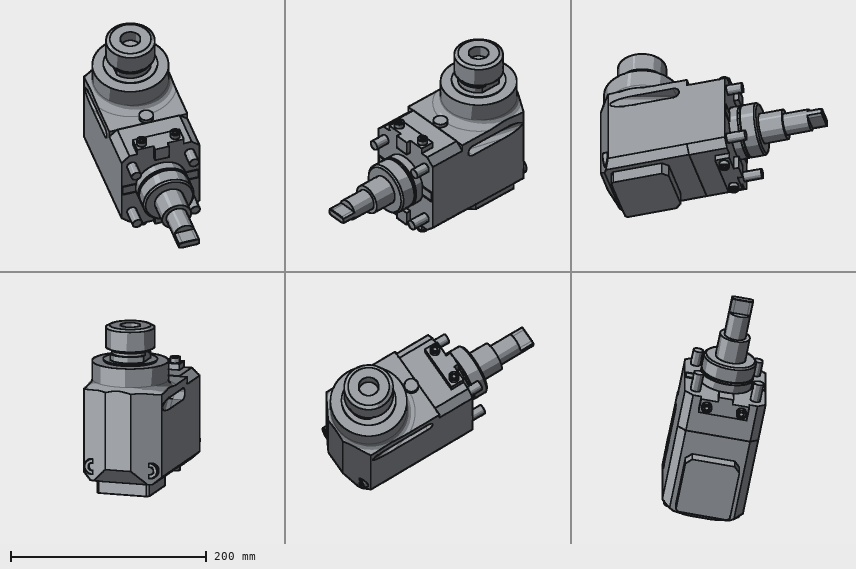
import cadquery as cq
import math


HALF_WIDTH = 84.0 / 2
REAR_X = -40.2
FACE_X = 99.5
STEP_X = 59.2
REAR_HALF_HEIGHT = 47.0
FRONT_HALF_HEIGHT = 47.5
REAR_FLAT_HALF_WIDTH = 13.8
REAR_CUT_END_X = -24.3
EDGE_CUT_Y = 33.5
EDGE_CUT_Z = 39.8
TOE_Z = -32.3
TOE_X = -31.5

TOP_Z = 111.5
COLLAR_RADIUS = 39.0
COLLAR_TOP_Z = 74.4
COLLAR_FILLET = 8.2
WASHER_TOP_RADIUS = 27.8
WASHER_BASE_RADIUS = 27.0
NUT_BASE_Z = 76.3
NUT_RADIUS = 21.3
NUT_TOP_Z = 82.5
NUT_HALF_FLATS = 36.3 / 2
NECK_RADIUS = 19.2
FLATS_TOP_Z = 86.0
SHOULDER_RADIUS = 20.0
CAP_BASE_Z = 88.9
CAP_RADIUS = 25.0
CAP_TOP_RADIUS = 21.0
CAP_BEVEL_HEIGHT = 2.0
BORE_RADIUS = 10.3
BORE_DEPTH = 12.2

FLANGE_RADIUS = 27.1
FLANGE_END_X = 127.7
FLANGE_CHAMFER = 1.9
RING_GROOVE_X = 108.5
RING_GROOVE_WIDTH = 3.0
RING_GROOVE_FLOOR = 2.0
RING_GROOVE_DEPTH = 0.7
SHAFT_RADIUS = 31.0 / 2
SHAFT_END_X = 152.3
TIP_RADIUS = 22.2 / 2
TIP_END_X = 178.2
TANG_END_X = 193.7
TANG_HALF_THICKNESS = 3.7
TANG_BEVEL_WIDTH = 3.7
TANG_BEVEL_HEIGHT = 1.0
TANG_END_CHAMFER = 0.5

SCREW_Y = 31.0
SCREW_Z = 32.5
SCREW_RADIUS = 10.0 / 2
UPPER_SCREW_END_X = 115.0
LOWER_SCREW_END_X = 118.5
HEAD_X = -31.0
HEAD_RADIUS = 8.2
HEAD_CHAMFER = 0.5
HEAD_BORE_RADIUS = 4.0

GROOVE_RADIUS = 6.0
GROOVE_TILT = 15
GROOVE_START_X = 1.2
GROOVE_END_X = 44.7

PLATE_X = 84.5
PLATE_HALF_WIDTH = 25.0
PLATE_TOP_Z = 53.8
KEY_END_X = 104.5
KEY_HALF_WIDTH = 7.5
KEY_LOW_Z = 38.1
PLATE_SCREW_X = 92.2
PLATE_SCREW_Y = 18.0
PLATE_SCREW_RADIUS = 5.0
PLATE_SCREW_TOP_Z = 59.5
PLATE_SCREW_CHAMFER = 0.5
SOCKET_RADIUS = 2.5
SOCKET_WALL_DEPTH = 2.0
SOCKET_DEPTH = 3.5

BAR_HEIGHT = 11.2
BAR_LENGTH = 81.5
BAR_THICKNESS = 1.0

PLUG_X = 52.0
PLUG_RADIUS = 7.3
PLUG_TOP_Z = 51.0

BASE_REAR_X = -25.3
BASE_FRONT_X = 34.6
BASE_HALF_WIDTH = 28.0
BASE_BOTTOM_Z = -61.0
BASE_REAR_CHAMFER = 2.3
BASE_FRONT_CHAMFER = 5.8

OVERLAP = 2.3


def box(x0, x1, half_width, z0, z1):
    """Block between two X and two Z planes, centred on Y = 0."""
    return cq.Workplane("XY").box(x1 - x0, 2 * half_width, z1 - z0).translate(
        ((x0 + x1) / 2, 0, (z0 + z1) / 2)
    )


def rod_x(x0, x1, radius, y=0.0, z=0.0):
    """Cylinder along X."""
    return cq.Workplane("YZ", origin=(x0, y, z)).circle(radius).extrude(x1 - x0)


def rod_z(x, y, z0, z1, radius):
    """Cylinder along Z."""
    return cq.Workplane("XY", origin=(x, y, z0)).circle(radius).extrude(z1 - z0)


def make_plan_prism():
    """Tall prism with the housing's plan outline, used to trim the rear corners."""
    outline = [
        (REAR_X, -REAR_FLAT_HALF_WIDTH),
        (REAR_CUT_END_X, -HALF_WIDTH),
        (FACE_X, -HALF_WIDTH),
        (FACE_X, HALF_WIDTH),
        (REAR_CUT_END_X, HALF_WIDTH),
        (REAR_X, REAR_FLAT_HALF_WIDTH),
    ]
    height = 2 * TOP_Z
    return cq.Workplane("XY", origin=(0, 0, -TOP_Z)).polyline(outline).close().extrude(height)


def make_housing():
    rear_section = [
        (-HALF_WIDTH, REAR_HALF_HEIGHT),
        (-HALF_WIDTH, -EDGE_CUT_Z),
        (-EDGE_CUT_Y, -REAR_HALF_HEIGHT),
        (EDGE_CUT_Y, -REAR_HALF_HEIGHT),
        (HALF_WIDTH, -EDGE_CUT_Z),
        (HALF_WIDTH, REAR_HALF_HEIGHT),
    ]
    front_section = [
        (-EDGE_CUT_Y, FRONT_HALF_HEIGHT),
        (-HALF_WIDTH, EDGE_CUT_Z),
        (-HALF_WIDTH, -EDGE_CUT_Z),
        (-EDGE_CUT_Y, -FRONT_HALF_HEIGHT),
        (EDGE_CUT_Y, -FRONT_HALF_HEIGHT),
        (HALF_WIDTH, -EDGE_CUT_Z),
        (HALF_WIDTH, EDGE_CUT_Z),
        (EDGE_CUT_Y, FRONT_HALF_HEIGHT),
    ]
    rear = cq.Workplane("YZ", origin=(REAR_X, 0, 0)).polyline(rear_section).close().extrude(STEP_X - REAR_X)
    front = cq.Workplane("YZ", origin=(STEP_X, 0, 0)).polyline(front_section).close().extrude(FACE_X - STEP_X)
    toe = (
        cq.Workplane("XZ")
        .polyline([(REAR_X, TOE_Z), (TOE_X, -REAR_HALF_HEIGHT), (REAR_X, -REAR_HALF_HEIGHT)])
        .close()
        .extrude(HALF_WIDTH, both=True)
    )
    return rear.union(front).cut(toe)


def make_collar():
    """Round collar that flares into the housing top through a concave fillet."""
    fillet_top_z = REAR_HALF_HEIGHT + COLLAR_FILLET
    flare_radius = COLLAR_RADIUS + COLLAR_FILLET
    arc_reach = COLLAR_FILLET * math.sqrt(0.5)
    return (
        cq.Workplane("XZ")
        .moveTo(0, REAR_HALF_HEIGHT - OVERLAP)
        .lineTo(flare_radius, REAR_HALF_HEIGHT - OVERLAP)
        .lineTo(flare_radius, REAR_HALF_HEIGHT)
        .threePointArc((flare_radius - arc_reach, fillet_top_z - arc_reach), (COLLAR_RADIUS, fillet_top_z))
        .lineTo(COLLAR_RADIUS, COLLAR_TOP_Z)
        .lineTo(0, COLLAR_TOP_Z)
        .close()
        .revolve(360, (0, 0, 0), (0, 1, 0))
    )


def make_spindle():
    profile = [
        (0, COLLAR_TOP_Z - OVERLAP),
        (WASHER_BASE_RADIUS, COLLAR_TOP_Z - OVERLAP),
        (WASHER_BASE_RADIUS, COLLAR_TOP_Z),
        (WASHER_TOP_RADIUS, NUT_BASE_Z),
        (NUT_RADIUS, NUT_BASE_Z),
        (NUT_RADIUS, NUT_TOP_Z),
        (NECK_RADIUS, NUT_TOP_Z),
        (NECK_RADIUS, FLATS_TOP_Z),
        (SHOULDER_RADIUS, FLATS_TOP_Z),
        (SHOULDER_RADIUS, CAP_BASE_Z),
        (CAP_RADIUS, CAP_BASE_Z),
        (CAP_RADIUS, TOP_Z - CAP_BEVEL_HEIGHT),
        (CAP_TOP_RADIUS, TOP_Z),
        (BORE_RADIUS, TOP_Z),
        (BORE_RADIUS, TOP_Z - BORE_DEPTH),
        (0, TOP_Z - BORE_DEPTH),
    ]
    spindle = cq.Workplane("XZ").polyline(profile).close().revolve(360, (0, 0, 0), (0, 1, 0))
    flats_band = box(-NUT_RADIUS, NUT_RADIUS, NUT_RADIUS, NUT_BASE_Z, FLATS_TOP_Z)
    between_flats = box(-NUT_RADIUS, NUT_RADIUS, NUT_HALF_FLATS, NUT_BASE_Z, FLATS_TOP_Z)
    return spindle.cut(flats_band.cut(between_flats))


def make_drive():
    """Flange with a ring groove, stepped shaft and flat tang."""
    groove_end_x = RING_GROOVE_X + RING_GROOVE_WIDTH
    groove_radius = FLANGE_RADIUS - RING_GROOVE_DEPTH
    profile = [
        (FACE_X - OVERLAP, 0),
        (FACE_X - OVERLAP, FLANGE_RADIUS),
        (RING_GROOVE_X, FLANGE_RADIUS),
        (RING_GROOVE_X, groove_radius),
        (RING_GROOVE_X + RING_GROOVE_FLOOR, groove_radius),
        (groove_end_x, FLANGE_RADIUS),
        (FLANGE_END_X - FLANGE_CHAMFER, FLANGE_RADIUS),
        (FLANGE_END_X, FLANGE_RADIUS - FLANGE_CHAMFER),
        (FLANGE_END_X, SHAFT_RADIUS),
        (SHAFT_END_X, SHAFT_RADIUS),
        (SHAFT_END_X, TIP_RADIUS),
        (TIP_END_X, TIP_RADIUS),
        (TIP_END_X, 0),
    ]
    shaft = cq.Workplane("XY").polyline(profile).close().revolve(360, (0, 0, 0), (1, 0, 0))
    slab = (
        box(TIP_END_X - OVERLAP, TANG_END_X, TIP_RADIUS, -TANG_HALF_THICKNESS, TANG_HALF_THICKNESS)
        .edges("|X")
        .chamfer(TANG_BEVEL_HEIGHT, TANG_BEVEL_WIDTH)
    )
    tang = slab.intersect(rod_x(TIP_END_X - OVERLAP, TANG_END_X, TIP_RADIUS))
    return shaft.union(tang.faces(">X").chamfer(TANG_END_CHAMFER))


def make_key_plate():
    """Top key plate with two socket screws; its tongue hangs over the mounting face."""
    plate = box(PLATE_X, FACE_X, PLATE_HALF_WIDTH, FRONT_HALF_HEIGHT - OVERLAP, PLATE_TOP_Z)
    tongue = box(FACE_X - OVERLAP, KEY_END_X, KEY_HALF_WIDTH, KEY_LOW_Z, PLATE_TOP_Z)
    plate = plate.union(tongue)
    for y in (-PLATE_SCREW_Y, PLATE_SCREW_Y):
        screw = rod_z(PLATE_SCREW_X, y, PLATE_TOP_Z - OVERLAP, PLATE_SCREW_TOP_Z, PLATE_SCREW_RADIUS)
        screw = screw.faces(">Z").chamfer(PLATE_SCREW_CHAMFER)
        socket = (
            cq.Workplane("XZ")
            .polyline([(0, 0), (SOCKET_RADIUS, 0), (SOCKET_RADIUS, -SOCKET_WALL_DEPTH), (0, -SOCKET_DEPTH)])
            .close()
            .revolve(360, (0, 0, 0), (0, 1, 0))
            .translate((PLATE_SCREW_X, y, PLATE_SCREW_TOP_Z))
        )
        plate = plate.union(screw).cut(socket)
    return plate


def make_base():
    height = -REAR_HALF_HEIGHT + OVERLAP - BASE_BOTTOM_Z
    block = box(BASE_REAR_X, BASE_FRONT_X, BASE_HALF_WIDTH, BASE_BOTTOM_Z, BASE_BOTTOM_Z + height)
    block = block.edges("|Z and <X").chamfer(BASE_REAR_CHAMFER)
    return block.edges("|Z and >X").chamfer(BASE_FRONT_CHAMFER)


def make_screw_head(y):
    """Ring-shaped head standing out of the sloping rear corner."""
    head = rod_x(HEAD_X, REAR_CUT_END_X, HEAD_RADIUS, y, -SCREW_Z).faces("<X").chamfer(HEAD_CHAMFER)
    return head.cut(rod_x(HEAD_X, REAR_CUT_END_X, HEAD_BORE_RADIUS, y, -SCREW_Z))


def make_access_groove():
    """Round-bottomed groove that slopes into the -Y side and ends in a ball shape."""
    reach = GROOVE_END_X + HALF_WIDTH
    trough = cq.Workplane("YZ").circle(GROOVE_RADIUS).extrude(reach, both=True)
    opening = cq.Workplane("XY").box(2 * reach, reach, 2 * GROOVE_RADIUS).translate((0, -reach / 2, 0))
    sloped = (
        trough.union(opening)
        .rotate((0, 0, 0), (0, 0, 1), GROOVE_TILT)
        .translate((GROOVE_START_X, -HALF_WIDTH, SCREW_Z))
    )
    end_y = -HALF_WIDTH + (GROOVE_END_X - GROOVE_START_X) * math.tan(math.radians(GROOVE_TILT))
    end_centre = (GROOVE_END_X, end_y, SCREW_Z)
    ball = cq.Workplane("XY").sphere(GROOVE_RADIUS).translate(end_centre)
    end_wall = cq.Workplane("XZ", origin=end_centre).circle(GROOVE_RADIUS).extrude(HALF_WIDTH)
    limit = box(REAR_X, GROOVE_END_X, 2 * HALF_WIDTH, SCREW_Z - GROOVE_RADIUS, SCREW_Z + GROOVE_RADIUS)
    return sloped.intersect(limit).union(ball).union(end_wall)


result = make_housing().union(make_collar()).intersect(make_plan_prism())

groove = make_access_groove()
result = result.cut(groove).cut(groove.mirror("XZ"))

key_plate = make_key_plate()
cross_bar = box(FACE_X - OVERLAP, FACE_X + BAR_THICKNESS, BAR_LENGTH / 2, -BAR_HEIGHT / 2, BAR_HEIGHT / 2)
plug = rod_z(PLUG_X, 0, REAR_HALF_HEIGHT - OVERLAP, PLUG_TOP_Z, PLUG_RADIUS)
for piece in (make_spindle(), make_drive(), make_base(), key_plate, key_plate.mirror("XY"), cross_bar, plug):
    result = result.union(piece)

for side in (-1, 1):
    y = side * SCREW_Y
    result = result.union(rod_x(FACE_X - OVERLAP, UPPER_SCREW_END_X, SCREW_RADIUS, y, SCREW_Z))
    result = result.union(rod_x(FACE_X - OVERLAP, LOWER_SCREW_END_X, SCREW_RADIUS, y, -SCREW_Z))
    result = result.union(make_screw_head(y))